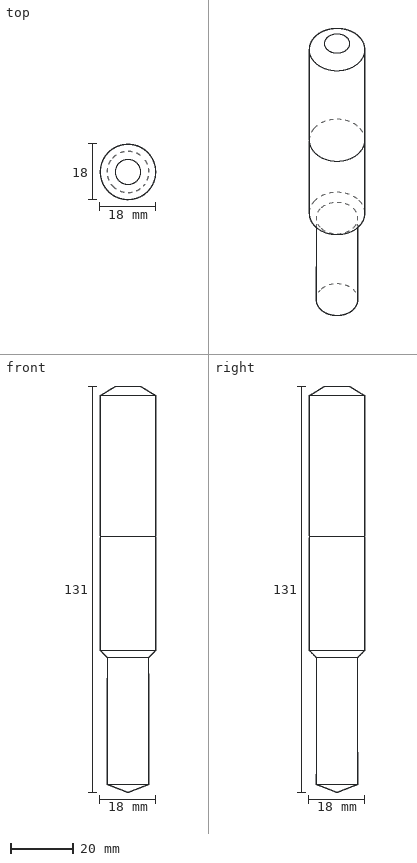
import cadquery as cq

total_height = 131.0
body_diameter = 18.0

joint_height = 82.5
joint_diameter = 17.8
rim_bevel_height = 0.4

cap_top_diameter = 8.1
cap_bevel_height = 3.0

shoulder_height = 45.8
shoulder_bevel_height = 2.4
shank_top_diameter = 13.4
shank_bottom_diameter = 13.5
tip_height = 2.6

body_radius = body_diameter / 2
joint_radius = joint_diameter / 2


def revolve_profile(points):
    """Turn a half profile of (radius, height) points about the Z axis."""
    return cq.Workplane("XZ").polyline(points).close().revolve(360, (0, 0), (0, 1))


def make_cap():
    """Round cap with a bevelled top and a finely bevelled lower rim."""
    return revolve_profile([
        (0, joint_height),
        (joint_radius, joint_height),
        (body_radius, joint_height + rim_bevel_height),
        (body_radius, total_height - cap_bevel_height),
        (cap_top_diameter / 2, total_height),
        (0, total_height),
    ])


def make_punch():
    """Round holder that bevels down to a slightly flared shank with a conical tip."""
    return revolve_profile([
        (0, 0),
        (shank_bottom_diameter / 2, tip_height),
        (shank_top_diameter / 2, shoulder_height - shoulder_bevel_height),
        (body_radius, shoulder_height),
        (body_radius, joint_height - rim_bevel_height),
        (joint_radius, joint_height),
        (0, joint_height),
    ])


cap = make_cap()
punch = make_punch()

result = cq.Compound.makeCompound([cap.val(), punch.val()])